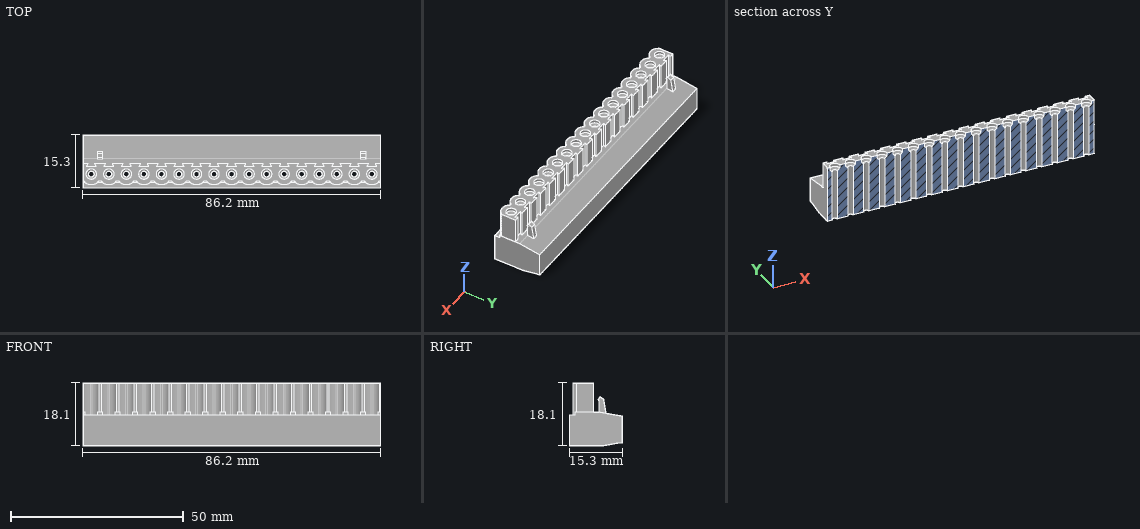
import cadquery as cq
import math


length = 86.25
depth = 15.33
height = 18.15

pole_count = 17
pitch = 5.08
first_pole_x = 2.4
pole_y = 4.03
pole_x_positions = [first_pole_x + i * pitch for i in range(pole_count)]

front_shoulder_z = 9.0
body_top_z = 9.8
back_top_z = 8.65
back_bottom_z = 0.8
top_slope_start_y = 8.55
bottom_slope_start_y = 9.8
bottom_slope_end_y = 14.2

tower_front_y = 1.0
groove_back_y = 2.1
tower_back_y = 7.05
groove_width = 0.7
front_flat_width = 0.52

foot_front_y = 1.6
foot_width = 1.65

notch_depth = 0.8
notch_mouth_width = 2.0
notch_floor_width = 2.8

mouth_diameter = 3.0
bore_diameter = 1.6
mouth_depth = 1.05
cone_depth = 0.7

latch_width = 1.55
latch_root_back_y = 10.7
latch_root_front_y = 8.57
latch_shoulder_y = 9.95
latch_shoulder_z = 13.5
latch_tip_y = 8.9
latch_tip_z = 14.25
latch_barb_y = 8.35
latch_barb_z = 13.5
latch_neck_z = 13.0


def side_profile(points, x_start, width):
    """Extrude a closed (Y, Z) outline along X."""
    return cq.Workplane("YZ").workplane(offset=x_start).polyline(points).close().extrude(width)


def box(x_range, y_range, z_range):
    """Box spanning the given (low, high) ranges."""
    sizes = [high - low for low, high in (x_range, y_range, z_range)]
    corner = (x_range[0], y_range[0], z_range[0])
    return cq.Workplane("XY").box(*sizes, centered=False).translate(corner)


def make_body():
    points = [
        (0, 0),
        (bottom_slope_start_y, 0),
        (bottom_slope_end_y, back_bottom_z),
        (depth, back_bottom_z),
        (depth, back_top_z),
        (top_slope_start_y, body_top_z),
        (groove_back_y, body_top_z),
        (groove_back_y, front_shoulder_z),
        (0, front_shoulder_z),
    ]
    return side_profile(points, 0, length)


def make_tower(x):
    """One pitch of the tower row: rounded front, dovetail notch at the back."""
    half_pitch = pitch / 2
    half_flat = front_flat_width / 2
    arc_end = half_pitch - groove_width / 2
    arc_run = arc_end - half_flat
    arc_rise = groove_back_y - tower_front_y
    notch_floor_y = tower_back_y - notch_depth
    half_mouth = notch_mouth_width / 2
    half_floor = notch_floor_width / 2
    radius = (arc_run**2 + arc_rise**2) / (2 * arc_rise)
    mid_angle = math.asin(arc_run / radius) / 2
    mid_x = half_flat + radius * math.sin(mid_angle)
    mid_y = tower_front_y + radius * (1 - math.cos(mid_angle))
    return (
        cq.Workplane("XY", origin=(x, 0, front_shoulder_z))
        .moveTo(-half_flat, tower_front_y)
        .lineTo(half_flat, tower_front_y)
        .threePointArc((mid_x, mid_y), (arc_end, groove_back_y))
        .lineTo(half_pitch, groove_back_y)
        .lineTo(half_pitch, tower_back_y)
        .lineTo(half_mouth, tower_back_y)
        .lineTo(half_floor, notch_floor_y)
        .lineTo(-half_floor, notch_floor_y)
        .lineTo(-half_mouth, tower_back_y)
        .lineTo(-half_pitch, tower_back_y)
        .lineTo(-half_pitch, groove_back_y)
        .lineTo(-arc_end, groove_back_y)
        .threePointArc((-mid_x, mid_y), (-half_flat, tower_front_y))
        .close()
        .extrude(height - front_shoulder_z)
    )


def make_foot(x):
    return box(
        (x - foot_width / 2, x + foot_width / 2),
        (foot_front_y, groove_back_y),
        (front_shoulder_z, body_top_z),
    )


def make_screw_hole(x):
    """Wide mouth narrowing through a cone to a bore that passes through the body."""
    cone_top_z = height - mouth_depth
    cone_bottom_z = cone_top_z - cone_depth
    points = [
        (0, 0),
        (bore_diameter / 2, 0),
        (bore_diameter / 2, cone_bottom_z),
        (mouth_diameter / 2, cone_top_z),
        (mouth_diameter / 2, height),
        (0, height),
    ]
    hole = cq.Workplane("XZ").polyline(points).close().revolve(360, (0, 0), (0, 1))
    return hole.translate((x, pole_y, 0))


def make_latch(x):
    points = [
        (latch_root_front_y, front_shoulder_z),
        (latch_root_front_y, latch_neck_z),
        (latch_barb_y, latch_barb_z),
        (latch_tip_y, latch_tip_z),
        (latch_shoulder_y, latch_shoulder_z),
        (latch_root_back_y, front_shoulder_z),
    ]
    return side_profile(points, x - latch_width / 2, latch_width)


def combine(make_feature, x_positions):
    """Union of the same feature built at every X position."""
    features = [make_feature(x) for x in x_positions]
    combined = features[0]
    for feature in features[1:]:
        combined = combined.union(feature)
    return combined


gap_x_positions = [first_pole_x + (i - 0.5) * pitch for i in range(pole_count + 1)]
latch_x_positions = [gap_x_positions[1], gap_x_positions[-2]]
envelope = box((0, length), (0, depth), (0, height))

result = make_body()
result = result.union(combine(make_tower, pole_x_positions))
result = result.union(combine(make_foot, gap_x_positions))
result = result.union(combine(make_latch, latch_x_positions))
result = result.intersect(envelope)
result = result.cut(combine(make_screw_hole, pole_x_positions))